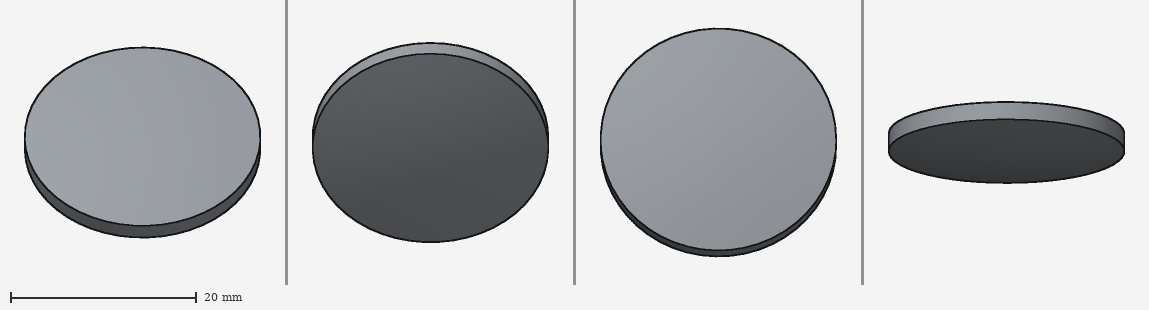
import cadquery as cq

diameter = 25.4
center_thickness = 4.0
edge_thickness = 1.95

radius = diameter / 2
half_center = center_thickness / 2
half_edge = edge_thickness / 2

sag = half_center - half_edge
sphere_radius = (radius**2 + sag**2) / (2 * sag)


def cap_height(distance):
    """Height of the upper spherical face at a distance from the lens axis."""
    sphere_center = half_center - sphere_radius
    return sphere_center + (sphere_radius**2 - distance**2) ** 0.5


mid_distance = radius / 2
mid_height = cap_height(mid_distance)

half_section = (
    cq.Workplane("YZ")
    .moveTo(0, -half_center)
    .threePointArc((mid_distance, -mid_height), (radius, -half_edge))
    .lineTo(radius, half_edge)
    .threePointArc((mid_distance, mid_height), (0, half_center))
    .close()
)

result = half_section.revolve(360, (0, 0, 0), (0, 1, 0))